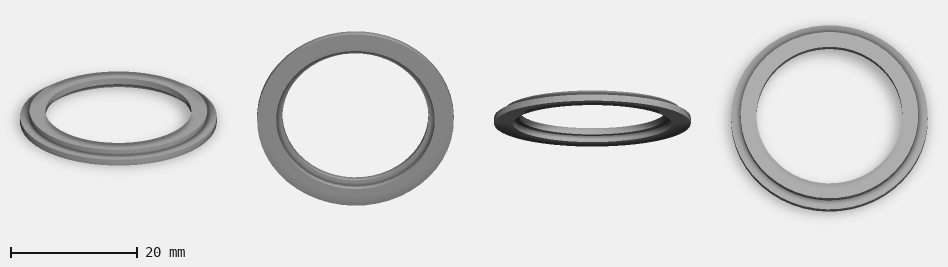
import cadquery as cq

flange_diameter = 31.0
collar_diameter = 28.0
bore_diameter = 23.0
recess_diameter = 25.0

total_height = 2.0
flange_height = total_height / 2
collar_height = total_height - flange_height
recess_depth = flange_height

flange = cq.Workplane("XY").circle(flange_diameter / 2).extrude(flange_height)
body = flange.faces(">Z").workplane().circle(collar_diameter / 2).extrude(collar_height)

bore = cq.Workplane("XY").circle(bore_diameter / 2).extrude(total_height)
recess = cq.Workplane("XY").circle(recess_diameter / 2).extrude(recess_depth)

result = body.cut(bore).cut(recess)